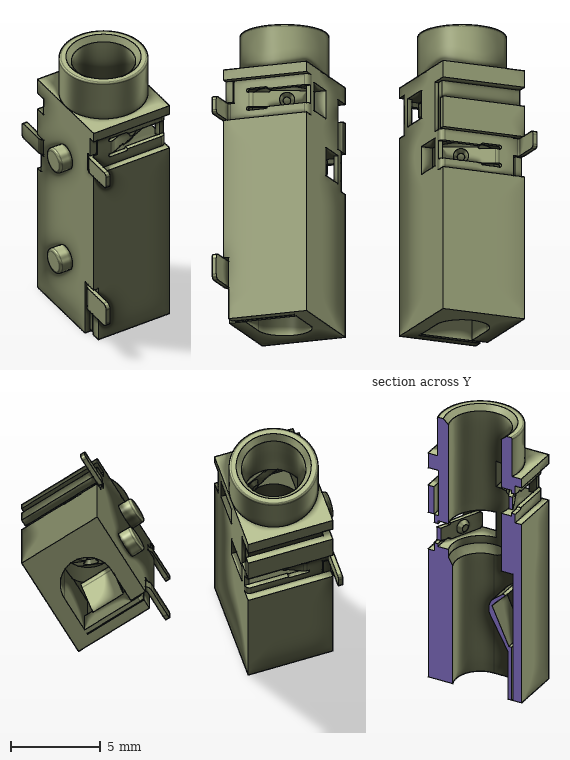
import cadquery as cq
import math

body_width = 6.0
body_depth = 5.0
body_height = 14.5
total_height = 17.0
front_y = -body_depth / 2
back_y = body_depth / 2
side_x = body_width / 2
barrel_radius = body_depth / 2
barrel_edge_round = 0.1

mouth_radius = 2.1
mouth_depth = 0.3
bore_radius = 1.8
lower_bore_radius = 1.55
cone_top_z = 8.16
cone_height = 0.51

peg_radius = 0.75
peg_length = 0.8
peg_edge = 0.14
peg_heights = (4.0, 11.0)

sheet = 0.25
overall_width = 9.0
tab_reach = overall_width / 2
tab_proud = 0.1
tab_back_y = front_y - tab_proud + sheet
tab_seat_depth = 0.3

pair_center_z = 11.1
window_bottom = 8.3
window_top = 10.65
window_depth = 0.39
plate_x = -side_x + window_depth
plate_inner_x = plate_x + sheet
slot_front_y = front_y + 0.42
plate_front_y = slot_front_y + 0.07
side_tab_width = 1.0
side_tab_z = 10.1
side_tab_corner = 0.2
side_bend_radius = 0.37
tab_seat_height = 1.12
flange_bend_radius = 0.29
back_relief = 0.22
flange_x = -1.87

tongue_z = 9.45
tongue_width = 1.05
tongue_root_y = front_y + 1.4
tongue_slope = 0.45
tongue_angle = math.atan(tongue_slope)
tongue_bend_radius = 0.51
tongue_length = 3.3
tongue_corner = 0.14
relief_slot_width = 0.22
relief_slot_length = 1.24
relief_slot_start_y = front_y + 1.24
relief_slot_depth = 1.02
dimple_radius = 0.42
dimple_tip_radius = dimple_radius / 2
dimple_depth = 0.24
dimple_distance = 1.92
pocket_height = 1.63
pocket_front_y = front_y + 0.85

groove_bottom = 12.43
groove_top = 13.53

blade_x = 2.12
blade_outer_x = blade_x + sheet
blade_clearance = 0.05
blade_slot_height = 3.57
blade_tab_width = 1.5
blade_tab_z = 2.7
blade_tab_corner = 0.29
blade_bend_radius = 0.46
blade_top = blade_tab_z + blade_tab_width / 2
blade_edge_round = 0.24
spring_width = 2.0
spring_apex_x = 0.61
spring_apex_z = 5.78
spring_tip_x = 1.78
spring_tip_z = 6.72
spring_bend_radius = 0.94
spring_root_z = 3.06


def box(x0, x1, y0, y1, z0, z1):
    """Box between the given limits."""
    return cq.Workplane("XY").box(x1 - x0, y1 - y0, z1 - z0, centered=False).translate((x0, y0, z0))


def half_turn(shape):
    """Turn a left-side feature into its right-side partner."""
    return shape.rotate((0, 0, pair_center_z), (0, 1, pair_center_z), 180)


def housing():
    body = box(-side_x, side_x, front_y, back_y, 0, body_height)
    barrel = cq.Workplane("XY").circle(barrel_radius).extrude(total_height)
    barrel = barrel.faces(">Z").edges().fillet(barrel_edge_round)
    return body.union(barrel)


def bore():
    """Stepped round bore with a flared mouth, widened low down to make room for the spring."""
    profile = [
        (0, 0),
        (lower_bore_radius, 0),
        (lower_bore_radius, cone_top_z - cone_height),
        (bore_radius, cone_top_z),
        (bore_radius, total_height - mouth_depth),
        (mouth_radius, total_height),
        (0, total_height),
    ]
    round_bore = cq.Workplane("XZ").polyline(profile).close().revolve(360, (0, 0, 0), (0, 1, 0))
    spring_room = box(0, blade_outer_x + blade_clearance,
                      -lower_bore_radius, lower_bore_radius, 0, cone_top_z)
    return round_bore.union(spring_room)


def side_window():
    """Opening for a side contact: shallow window, tab seat, tongue pocket and back relief."""
    window = box(-side_x, plate_x, front_y, back_y, window_bottom, window_top)
    plate_slot = box(plate_x, plate_inner_x, slot_front_y, back_y, window_bottom, window_top)
    seat = box(-side_x, plate_inner_x, front_y, slot_front_y, window_top - tab_seat_height, window_top)
    pocket = box(plate_inner_x, 0, pocket_front_y, back_y,
                 tongue_z - pocket_height / 2, tongue_z + pocket_height / 2)
    relief = box(plate_x, flange_x, back_y - back_relief, back_y, window_bottom, window_top)
    return window.union(plate_slot).union(seat).union(pocket).union(relief)


def left_groove():
    """Groove across the left side, with the contact slot running down from it."""
    groove = box(-side_x, plate_inner_x, front_y, back_y, groove_bottom, groove_top)
    slot = box(plate_x, plate_inner_x, slot_front_y, back_y, window_top, groove_bottom)
    relief = box(plate_x, flange_x, back_y - back_relief, back_y, window_top, groove_top)
    return groove.union(slot).union(relief)


def blade_slot():
    """Corner recess for the bottom tab and the slot that takes its blade."""
    slot_x0 = blade_x - blade_clearance
    recess = box(slot_x0, side_x, front_y, front_y + tab_seat_depth, 0, blade_slot_height)
    slot = box(slot_x0, blade_outer_x + blade_clearance, front_y, 0, 0, blade_slot_height)
    return recess.union(slot)


def pegs():
    shape = cq.Workplane("XY")
    for height in peg_heights:
        peg = cq.Workplane("XZ", origin=(0, front_y, height)).circle(peg_radius).extrude(peg_length)
        shape = shape.add(peg.faces("<Y").edges().fillet(peg_edge))
    return shape.combine()


def bent_tab(leg_x, leg_end_y, bend_radius, center_z, width, corner):
    """L-shaped strip: leg along Y with its -X face at leg_x, then bent to a tab towards +X."""
    face_y = front_y - tab_proud
    profile = (
        cq.Workplane("XY", origin=(0, 0, center_z - width / 2))
        .moveTo(leg_x, leg_end_y)
        .lineTo(leg_x, face_y + bend_radius)
        .radiusArc((leg_x + bend_radius, face_y), -bend_radius)
        .lineTo(tab_reach, face_y)
        .lineTo(tab_reach, tab_back_y)
        .lineTo(leg_x + bend_radius, tab_back_y)
        .radiusArc((leg_x + sheet, face_y + bend_radius), bend_radius - sheet)
        .lineTo(leg_x + sheet, leg_end_y)
        .close()
    )
    return profile.extrude(width).edges("|Y and >X").fillet(corner)


def tongue():
    """Tongue bent from the plate so that it leans into the bore, with a dimple near its end."""
    half = tongue_width / 2
    inner_radius = tongue_bend_radius - sheet
    center_x = plate_x + tongue_bend_radius

    def bend_end(radius):
        return (center_x - radius * math.cos(tongue_angle), tongue_root_y + radius * math.sin(tongue_angle))

    bend = (
        cq.Workplane("XY", origin=(0, 0, tongue_z - half))
        .moveTo(plate_x, tongue_root_y)
        .radiusArc(bend_end(tongue_bend_radius), tongue_bend_radius)
        .lineTo(*bend_end(inner_radius))
        .radiusArc((plate_inner_x, tongue_root_y), -inner_radius)
        .close()
        .extrude(tongue_width)
    )
    leaf = box(0, sheet, 0, tongue_length, -half, half).edges("|X and >Y").chamfer(tongue_corner)
    dimple = (
        cq.Workplane("YZ", origin=(sheet, dimple_distance, 0))
        .circle(dimple_radius)
        .workplane(offset=dimple_depth)
        .circle(dimple_tip_radius)
        .loft()
    )
    leaf = leaf.union(dimple).cut(dimple.translate((-sheet, 0, 0)))
    leaf = leaf.rotate((0, 0, 0), (0, 0, 1), -math.degrees(tongue_angle))
    return bend.union(leaf.translate((*bend_end(tongue_bend_radius), tongue_z)))


def relief_slots():
    """Slots along both edges of the tongue, next to its bend."""
    center_y = relief_slot_start_y + relief_slot_length / 2
    edges = [(0, -tongue_width / 2), (0, tongue_width / 2)]
    return (
        cq.Workplane("YZ", origin=(plate_x, center_y, tongue_z))
        .pushPoints(edges)
        .slot2D(relief_slot_length, relief_slot_width)
        .extrude(relief_slot_depth)
    )


def side_contact():
    """Left contact: plate with a rear flange, spring tongue and solder tab."""
    half = tongue_width / 2
    plate = box(plate_x, plate_inner_x, plate_front_y, back_y, window_bottom, window_top)
    flange = box(plate_x, flange_x, back_y - sheet, back_y, window_bottom, window_top)
    bent = plate.union(flange).edges("|Z and <X and >Y").fillet(flange_bend_radius)
    opening = box(plate_x, plate_inner_x, tongue_root_y, back_y, tongue_z - half, tongue_z + half)
    bent = bent.cut(opening).union(tongue()).cut(relief_slots())
    right_tab = bent_tab(-plate_inner_x, plate_front_y, side_bend_radius,
                         side_tab_z, side_tab_width, side_tab_corner)
    return bent.union(right_tab.mirror("YZ"))


def blade_contact():
    """Bottom contact: blade with a solder tab and a bent spring reaching into the bore."""
    tab = bent_tab(blade_x, 0, blade_bend_radius, blade_tab_z, blade_tab_width, blade_tab_corner)
    blade = box(blade_x, blade_outer_x, front_y + tab_seat_depth, lower_bore_radius, 0, blade_top)
    blade = blade.edges("|X and <Y and <Z").fillet(blade_edge_round)
    spring = (
        cq.Workplane("XZ", origin=(0, spring_width / 2, 0))
        .moveTo(blade_x, spring_root_z)
        .lineTo(spring_apex_x, spring_apex_z)
        .lineTo(spring_tip_x, spring_tip_z)
        .lineTo(spring_tip_x + sheet, spring_tip_z)
        .lineTo(spring_apex_x + 2 * sheet, spring_apex_z)
        .lineTo(blade_outer_x, spring_root_z)
        .close()
        .extrude(spring_width)
        .edges(cq.selectors.NearestToPointSelector((spring_apex_x, 0, spring_apex_z)))
        .fillet(spring_bend_radius)
    )
    return tab.union(blade).union(spring)


result = housing().cut(bore()).cut(side_window()).cut(half_turn(side_window()))
result = result.cut(left_groove()).cut(blade_slot())
result = result.union(pegs())
result = result.union(side_contact()).union(half_turn(side_contact())).union(blade_contact())